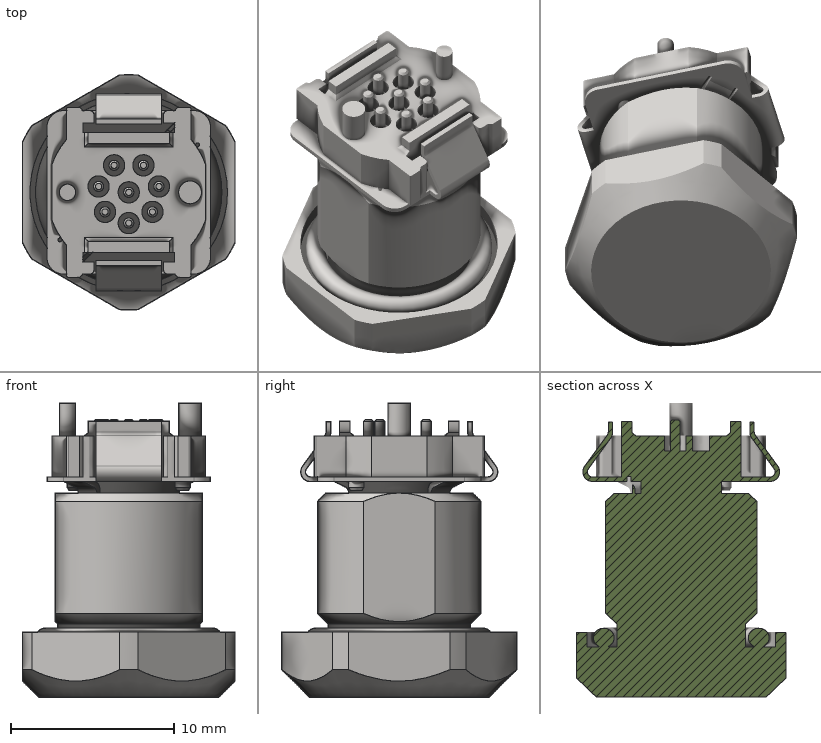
import cadquery as cq
import math

ARC_MIDDLE_INSET = 1 - math.sqrt(0.5)

NUT_TOP = 4.0
BODY_BOTTOM = 4.5
BODY_TOP = 12.5
PLATE_BOTTOM = 13.2
PLATE_TOP = 13.5
INSERT_TOP = 16.0
POST_TOP = 18.0

NUT_SIDES = 6
NUT_ACROSS_FLATS = 13.0
NUT_CORNER_RADIUS = 7.2
NUT_BOTTOM_RADIUS = 5.5
RECESS_RADIUS = 6.04
RECESS_FLOOR = 3.1
RING_OUTER_RADIUS = 5.7
RING_SECTION_RADIUS = 0.6
RING_TOP = 4.25

BODY_RADIUS = 5.0
BODY_FLAT_X = 4.5
BODY_TOP_CHAMFER = 0.5
LOWER_NECK_RADIUS = 4.36
UPPER_NECK_RADIUS = 3.1

PLATE_SIZE = 10.0
PLATE_CORNER_RADIUS = 1.0
TAB_DIAGONALS = (45, 225)
TAB_HALF_WIDTH = 0.81
TAB_INNER = 3.3
TAB_OUTER = 3.57
TAB_BEND_END = 3.8
TAB_ROOT = 4.8
TAB_KNEE = 3.8
TAB_KNEE_Z = 12.85
RELIEF_SLOT_WIDTH = 0.22
RELIEF_SLOT_START = 3.5
RELIEF_SLOT_END = 5.15

INSERT_RADIUS = 5.0
INSERT_HALF_X = 4.7
INSERT_BLOCK_X = 3.8
INSERT_BLOCK_Y = 5.2
INSERT_EDGE_FILLET = 0.1
MOUTH_FACE_Y = 5.0
MOUTH_OUTER_X = 3.0
MOUTH_INNER_X = 2.8
THROAT_X = 2.13
THROAT_RADIUS = 0.25
POCKET_X = 2.8
POCKET_OUTER_Y = 4.25
POCKET_INNER_Y = 3.67

BAR_HALF_LENGTH = 2.48
BAR_INNER_Y = 3.0
BAR_TOP = 16.9
BAR_FOOT_WIDTH = 0.24
BAR_FOOT_HEIGHT = 0.2

CLIP_WIDTH = 4.03
CLIP_THICKNESS = 0.3
CLIP_REACH_Y = 6.03
CLIP_BEND_RADIUS = 0.6
CLIP_SLOPE = math.radians(54)
CLIP_TIP_Y = 4.48
CLIP_TIP_BEND_RADIUS = 0.34
CLIP_TIP_TOP = 16.88

ARC_PIN_COUNT = 7
PIN_CIRCLE_RADIUS = 1.88
PIN_MIDDLE_ANGLE = -90
PIN_PITCH_ANGLE = 50.5
PIN_RADIUS = 0.31
PIN_TOP = 17.0
PIN_CHAMFER = 0.12
PIN_HOLE_RADIUS = 0.65
PIN_HOLE_DEPTH = 0.9

POST_X = 3.75
SMALL_POST_RADIUS = 0.5
LARGE_POST_RADIUS = 0.7
RIVET_X = 3.3
RIVET_Y = -2.63
RIVET_RADIUS = 0.47
RIVET_BOTTOM = 12.65
RIVET_CHAMFER_HEIGHT = 0.2
RIVET_CHAMFER_WIDTH = 0.12


def cylinder(radius, bottom, top, x=0.0, y=0.0):
    return cq.Workplane("XY", origin=(x, y, bottom)).circle(radius).extrude(top - bottom)


def box(x_range, y_range, z_range):
    size = [end - start for start, end in (x_range, y_range, z_range)]
    corner = (x_range[0], y_range[0], z_range[0])
    return cq.Workplane("XY", origin=corner).box(*size, centered=False)


def half_turn(shape):
    return shape.rotate((0, 0, 0), (0, 0, 1), 180)


def with_half_turn_copy(shape):
    return shape.union(half_turn(shape))


def make_nut():
    half_side_angle = 180 / NUT_SIDES
    corner_diameter = NUT_ACROSS_FLATS / math.cos(math.radians(half_side_angle))
    hexagon = cq.Workplane("XY").polygon(NUT_SIDES, corner_diameter).extrude(NUT_TOP)
    hexagon = hexagon.rotate((0, 0, 0), (0, 0, 1), half_side_angle)
    cone_height = NUT_CORNER_RADIUS - NUT_BOTTOM_RADIUS
    envelope = (
        cq.Workplane("XZ")
        .polyline([
            (0, 0),
            (NUT_BOTTOM_RADIUS, 0),
            (NUT_CORNER_RADIUS, cone_height),
            (NUT_CORNER_RADIUS, NUT_TOP),
            (0, NUT_TOP),
        ])
        .close()
        .revolve(360, (0, 0, 0), (0, 1, 0))
    )
    recess = cylinder(RECESS_RADIUS, RECESS_FLOOR, NUT_TOP)
    return hexagon.intersect(envelope).cut(recess)


def make_sealing_ring():
    centre = (RING_OUTER_RADIUS - RING_SECTION_RADIUS, RING_TOP - RING_SECTION_RADIUS)
    return (
        cq.Workplane("XZ")
        .moveTo(*centre)
        .circle(RING_SECTION_RADIUS)
        .revolve(360, (0, 0, 0), (0, 1, 0))
    )


def make_body():
    bottom_chamfer = BODY_RADIUS - LOWER_NECK_RADIUS
    barrel = (
        cq.Workplane("XZ")
        .polyline([
            (0, BODY_BOTTOM),
            (LOWER_NECK_RADIUS, BODY_BOTTOM),
            (BODY_RADIUS, BODY_BOTTOM + bottom_chamfer),
            (BODY_RADIUS, BODY_TOP - BODY_TOP_CHAMFER),
            (BODY_RADIUS - BODY_TOP_CHAMFER, BODY_TOP),
            (0, BODY_TOP),
        ])
        .close()
        .revolve(360, (0, 0, 0), (0, 1, 0))
    )
    flats = box(
        (-BODY_FLAT_X, BODY_FLAT_X), (-BODY_RADIUS, BODY_RADIUS), (BODY_BOTTOM, BODY_TOP)
    )
    lower_neck = cylinder(LOWER_NECK_RADIUS, RECESS_FLOOR, BODY_BOTTOM)
    upper_neck = cylinder(UPPER_NECK_RADIUS, BODY_TOP, PLATE_BOTTOM)
    return barrel.intersect(flats).union(lower_neck).union(upper_neck)


def make_contact_tab(diagonal):
    bend_radius = TAB_BEND_END - TAB_INNER
    bend_mid = bend_radius * ARC_MIDDLE_INSET
    knee_run = TAB_KNEE - TAB_OUTER
    knee_rise = TAB_KNEE_Z - BODY_TOP
    knee_radius = (knee_run**2 + knee_rise**2) / (2 * knee_run)
    profile = (
        cq.Workplane("XZ")
        .moveTo(TAB_ROOT, PLATE_BOTTOM)
        .lineTo(TAB_KNEE, TAB_KNEE_Z)
        .radiusArc((TAB_OUTER, BODY_TOP), -knee_radius)
        .lineTo(TAB_INNER, BODY_TOP)
        .lineTo(TAB_INNER, PLATE_BOTTOM - bend_radius)
        .threePointArc(
            (TAB_INNER + bend_mid, PLATE_BOTTOM - bend_mid), (TAB_BEND_END, PLATE_BOTTOM)
        )
        .close()
    )
    tab = profile.extrude(TAB_HALF_WIDTH, both=True)
    return tab.rotate((0, 0, 0), (0, 0, 1), diagonal)


def make_relief_slots(diagonal):
    centre_offset = TAB_HALF_WIDTH + RELIEF_SLOT_WIDTH / 2
    length = RELIEF_SLOT_END - RELIEF_SLOT_START
    middle = (RELIEF_SLOT_START + RELIEF_SLOT_END) / 2
    slots = (
        cq.Workplane("XY", origin=(0, 0, PLATE_BOTTOM))
        .pushPoints([(middle, -centre_offset), (middle, centre_offset)])
        .slot2D(length, RELIEF_SLOT_WIDTH)
        .extrude(PLATE_TOP - PLATE_BOTTOM)
    )
    return slots.rotate((0, 0, 0), (0, 0, 1), diagonal)


def make_rivet():
    shank = cylinder(RIVET_RADIUS, RIVET_BOTTOM, PLATE_BOTTOM, RIVET_X, RIVET_Y)
    return shank.faces("<Z").edges().chamfer(RIVET_CHAMFER_HEIGHT, RIVET_CHAMFER_WIDTH)


def make_plate():
    plate = (
        cq.Workplane("XY", origin=(0, 0, PLATE_BOTTOM))
        .rect(PLATE_SIZE, PLATE_SIZE)
        .extrude(PLATE_TOP - PLATE_BOTTOM)
        .edges("|Z")
        .fillet(PLATE_CORNER_RADIUS)
    )
    for diagonal in TAB_DIAGONALS:
        plate = plate.cut(make_relief_slots(diagonal))
        plate = plate.union(make_contact_tab(diagonal))
    return plate.union(with_half_turn_copy(make_rivet()))


def make_clip_opening():
    """Stepped opening in the +Y side of the insert: mouth, throat and wide pocket."""
    throat_start_x = THROAT_X + THROAT_RADIUS
    throat_end_y = MOUTH_FACE_Y - THROAT_RADIUS
    arc_inset = THROAT_RADIUS * ARC_MIDDLE_INSET
    half = (
        cq.Workplane("XY", origin=(0, 0, PLATE_TOP))
        .moveTo(0, INSERT_BLOCK_Y)
        .lineTo(MOUTH_OUTER_X, INSERT_BLOCK_Y)
        .lineTo(MOUTH_INNER_X, MOUTH_FACE_Y)
        .lineTo(throat_start_x, MOUTH_FACE_Y)
        .threePointArc(
            (THROAT_X + arc_inset, MOUTH_FACE_Y - arc_inset), (THROAT_X, throat_end_y)
        )
        .lineTo(THROAT_X, POCKET_OUTER_Y)
        .lineTo(POCKET_X, POCKET_OUTER_Y)
        .lineTo(POCKET_X, POCKET_INNER_Y)
        .lineTo(0, POCKET_INNER_Y)
        .close()
        .extrude(INSERT_TOP - PLATE_TOP)
    )
    return half.union(half.mirror("YZ"))


def make_bar():
    foot_half_length = BAR_HALF_LENGTH + BAR_FOOT_WIDTH
    foot_inner_y = BAR_INNER_Y - BAR_FOOT_WIDTH
    foot_depth = POCKET_INNER_Y - foot_inner_y
    bar_depth = POCKET_INNER_Y - BAR_INNER_Y
    foot = (
        cq.Workplane("XY", origin=(0, POCKET_INNER_Y - foot_depth / 2, INSERT_TOP))
        .rect(2 * foot_half_length, foot_depth)
        .workplane(offset=BAR_FOOT_HEIGHT)
        .center(0, (foot_depth - bar_depth) / 2)
        .rect(2 * BAR_HALF_LENGTH, bar_depth)
        .loft(ruled=True)
    )
    bar = box(
        (-BAR_HALF_LENGTH, BAR_HALF_LENGTH), (BAR_INNER_Y, POCKET_INNER_Y), (INSERT_TOP, BAR_TOP)
    )
    return bar.union(foot)


def pin_places():
    places = [(0, 0)]
    for i in range(ARC_PIN_COUNT):
        steps = i - (ARC_PIN_COUNT - 1) / 2
        angle = math.radians(PIN_MIDDLE_ANGLE + steps * PIN_PITCH_ANGLE)
        places.append((PIN_CIRCLE_RADIUS * math.cos(angle), PIN_CIRCLE_RADIUS * math.sin(angle)))
    return places


def make_insert():
    depth = INSERT_TOP - PLATE_TOP
    disc = cylinder(INSERT_RADIUS, PLATE_TOP, INSERT_TOP).intersect(
        box(
            (-INSERT_HALF_X, INSERT_HALF_X),
            (-INSERT_RADIUS, INSERT_RADIUS),
            (PLATE_TOP, INSERT_TOP),
        )
    )
    block = (
        cq.Workplane("XY", origin=(0, 0, PLATE_TOP))
        .rect(2 * INSERT_BLOCK_X, 2 * INSERT_BLOCK_Y)
        .extrude(depth)
        .edges("|Z")
        .fillet(INSERT_EDGE_FILLET)
    )
    opening = make_clip_opening()
    insert = disc.union(block).cut(opening).cut(half_turn(opening))
    insert = insert.union(with_half_turn_copy(make_bar()))
    hole_bottom = INSERT_TOP - PIN_HOLE_DEPTH
    for x, y in pin_places():
        insert = insert.cut(cylinder(PIN_HOLE_RADIUS, hole_bottom, INSERT_TOP, x, y))
        pin = cylinder(PIN_RADIUS, hole_bottom, PIN_TOP, x, y)
        insert = insert.union(pin.faces(">Z").edges().chamfer(PIN_CHAMFER))
    insert = insert.union(cylinder(SMALL_POST_RADIUS, INSERT_TOP, POST_TOP, -POST_X))
    return insert.union(cylinder(LARGE_POST_RADIUS, INSERT_TOP, POST_TOP, POST_X))


def make_clip():
    """Strip that leaves the +Y plate edge, bends back and runs up into the pocket."""
    outer_radius = CLIP_BEND_RADIUS
    inner_radius = outer_radius - CLIP_THICKNESS
    centre_y = CLIP_REACH_Y - outer_radius
    centre_z = PLATE_BOTTOM + outer_radius
    slope_angle = math.pi / 2 - CLIP_SLOPE
    mid_angle = (slope_angle - math.pi / 2) / 2

    tip_outer_radius = CLIP_TIP_BEND_RADIUS
    tip_inner_radius = tip_outer_radius + CLIP_THICKNESS
    tip_centre_y = CLIP_TIP_Y + tip_outer_radius
    centre_gap = outer_radius + tip_outer_radius
    sideways_gap = (centre_y - tip_centre_y) * math.cos(slope_angle)
    tip_centre_z = centre_z + (centre_gap + sideways_gap) / math.sin(slope_angle)
    tip_inner_y = CLIP_TIP_Y - CLIP_THICKNESS

    def on_bend(radius, angle):
        return (centre_y + radius * math.cos(angle), centre_z + radius * math.sin(angle))

    def on_tip_bend(radius, angle):
        return (tip_centre_y - radius * math.cos(angle), tip_centre_z - radius * math.sin(angle))

    root_y = PLATE_SIZE / 2
    strip = (
        cq.Workplane("YZ")
        .moveTo(root_y, PLATE_BOTTOM)
        .lineTo(centre_y, PLATE_BOTTOM)
        .threePointArc(on_bend(outer_radius, mid_angle), on_bend(outer_radius, slope_angle))
        .lineTo(*on_tip_bend(tip_outer_radius, slope_angle))
        .threePointArc(
            on_tip_bend(tip_outer_radius, slope_angle / 2), (CLIP_TIP_Y, tip_centre_z)
        )
        .lineTo(CLIP_TIP_Y, CLIP_TIP_TOP)
        .lineTo(tip_inner_y, CLIP_TIP_TOP)
        .lineTo(tip_inner_y, tip_centre_z)
        .threePointArc(
            on_tip_bend(tip_inner_radius, slope_angle / 2),
            on_tip_bend(tip_inner_radius, slope_angle),
        )
        .lineTo(*on_bend(inner_radius, slope_angle))
        .threePointArc(on_bend(inner_radius, mid_angle), (centre_y, PLATE_TOP))
        .lineTo(root_y, PLATE_TOP)
        .close()
    )
    return strip.extrude(CLIP_WIDTH / 2, both=True)


result = (
    make_nut()
    .union(make_sealing_ring())
    .union(make_body())
    .union(make_plate())
    .union(make_insert())
    .union(with_half_turn_copy(make_clip()))
)